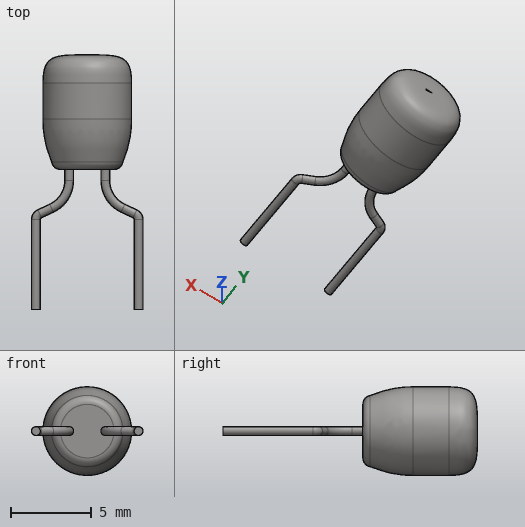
import cadquery as cq
import math

length = 15.76
body_diameter = 5.5
body_radius = body_diameter / 2
face_y = 8.65
face_radius = 1.65
rim_y = 9.11
rim_radius = 2.2
band_start_y = 11.77
band_end_y = 14.0
rim_bulge = 0.13
flank_steepness = 2.5
crown_flatness = 2.05

wire_diameter = 0.55
inner_pitch = 2.24
outer_pitch = 6.35
bend_top_y = 7.97
bend_bottom_y = 5.56
bend_angle = math.radians(65)
tip_bend_radius = 0.4
embed = 0.32


def make_body():
    rim_chord = math.hypot(rim_radius - face_radius, rim_y - face_y)
    bulge_x = rim_bulge * (rim_y - face_y) / rim_chord
    bulge_y = rim_bulge * (rim_radius - face_radius) / rim_chord
    rim_middle = (
        (face_radius + rim_radius) / 2 + bulge_x,
        (face_y + rim_y) / 2 - bulge_y,
    )
    flank_start = (1, flank_steepness)
    flank_end = (0, 1)
    profile = (
        cq.Workplane("XY")
        .moveTo(0, face_y)
        .lineTo(face_radius, face_y)
        .threePointArc(rim_middle, (rim_radius, rim_y))
        .spline([(body_radius, band_start_y)], tangents=[flank_start, flank_end], includeCurrent=True)
        .lineTo(body_radius, band_end_y)
        .bezier([(body_radius, length), (crown_flatness, length), (0, length)], includeCurrent=True)
        .close()
    )
    return profile.revolve(360, (0, 0), (0, 1))


def make_right_lead():
    inner_x = inner_pitch / 2
    outer_x = outer_pitch / 2
    spread = outer_x - inner_x
    drop = bend_top_y - bend_bottom_y
    sine = math.sin(bend_angle)
    cosine = math.cos(bend_angle)

    radius_sum = (drop * sine - spread * cosine) / (1 - cosine)
    body_bend_radius = radius_sum - tip_bend_radius
    half_sine = math.sin(bend_angle / 2)
    half_cosine = math.cos(bend_angle / 2)

    def tip_bend_point(angle_sine, angle_cosine):
        return (
            outer_x - tip_bend_radius * (1 - angle_cosine),
            bend_bottom_y + tip_bend_radius * angle_sine,
        )

    def body_bend_point(angle_sine, angle_cosine):
        return (
            inner_x + body_bend_radius * (1 - angle_cosine),
            bend_top_y - body_bend_radius * angle_sine,
        )

    path = (
        cq.Workplane("XY")
        .moveTo(outer_x, 0)
        .lineTo(outer_x, bend_bottom_y)
        .threePointArc(tip_bend_point(half_sine, half_cosine), tip_bend_point(sine, cosine))
        .lineTo(*body_bend_point(sine, cosine))
        .threePointArc(body_bend_point(half_sine, half_cosine), (inner_x, bend_top_y))
        .lineTo(inner_x, face_y + embed)
    )
    section = cq.Workplane("XZ", origin=(outer_x, 0, 0)).circle(wire_diameter / 2)
    return section.sweep(path)


right_lead = make_right_lead()
left_lead = right_lead.mirror("YZ")
result = make_body().union(right_lead).union(left_lead)